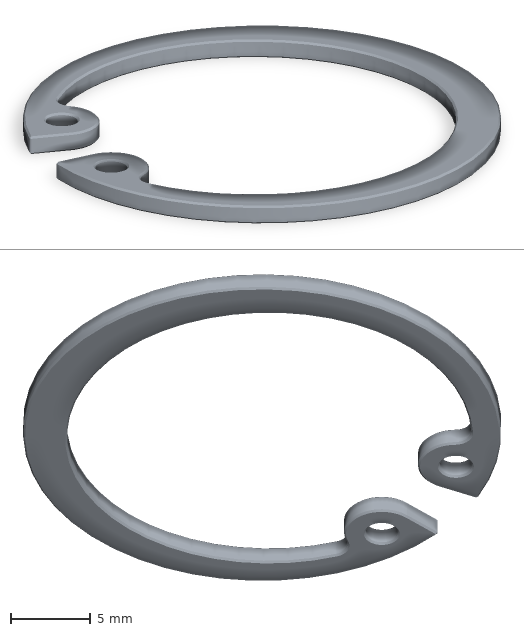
import cadquery as cq
import math

outer_radius = 15.03
bore_radius = 12.72
bore_offset = 0.55
thickness = 1.2
edge_chamfer = 0.12

lug_x = 4.15
lug_y = -11.9
lug_radius = 2.37
hole_diameter = 2.0
notch_radius = 1.05
tip_x = 2.15
tip_round = 0.15


def point_toward(start, target, distance):
    """Point at a distance from start along the direction to target."""
    scale = distance / math.dist(start, target)
    return (
        start[0] + (target[0] - start[0]) * scale,
        start[1] + (target[1] - start[1]) * scale,
    )


def polar_point(centre, radius, angle):
    return (
        centre[0] + radius * math.cos(angle),
        centre[1] + radius * math.sin(angle),
    )


def direction(start, target):
    return math.atan2(target[1] - start[1], target[0] - start[0])


def triangle_angle(side_a, side_b, opposite):
    """Angle between side_a and side_b of a triangle."""
    return math.acos((side_a**2 + side_b**2 - opposite**2) / (2 * side_a * side_b))


def mirrored(point):
    return (-point[0], point[1])


bore_centre = (0.0, -bore_offset)
lug_centre = (lug_x, lug_y)
tip = (tip_x, -math.sqrt(outer_radius**2 - tip_x**2))

notch_to_bore = bore_radius - notch_radius
notch_to_lug = lug_radius + notch_radius
bore_to_lug = math.dist(bore_centre, lug_centre)
notch_angle = direction(bore_centre, lug_centre) + triangle_angle(notch_to_bore, bore_to_lug, notch_to_lug)
notch_centre = polar_point(bore_centre, notch_to_bore, notch_angle)
notch_start = polar_point(bore_centre, bore_radius, notch_angle)
notch_end = point_toward(notch_centre, lug_centre, notch_radius)
notch_middle = point_toward(
    notch_centre,
    ((notch_start[0] + notch_end[0]) / 2, (notch_start[1] + notch_end[1]) / 2),
    notch_radius,
)

tangent_angle = direction(lug_centre, tip) - math.acos(lug_radius / math.dist(lug_centre, tip))
lug_end = polar_point(lug_centre, lug_radius, tangent_angle)
lug_top = (lug_x, lug_y + lug_radius)


def ring_profile():
    return (
        cq.Workplane("XY")
        .moveTo(*tip)
        .threePointArc((0, outer_radius), mirrored(tip))
        .lineTo(*mirrored(lug_end))
        .threePointArc(mirrored(lug_top), mirrored(notch_end))
        .threePointArc(mirrored(notch_middle), mirrored(notch_start))
        .threePointArc((0, bore_radius - bore_offset), notch_start)
        .threePointArc(notch_middle, notch_end)
        .threePointArc(lug_top, lug_end)
        .close()
    )


def round_tips(body):
    for corner in (tip, mirrored(tip)):
        nearest = cq.selectors.NearestToPointSelector((*corner, thickness / 2))
        body = body.edges("|Z").edges(nearest).fillet(tip_round)
    return body


body = round_tips(ring_profile().extrude(thickness))
lug_holes = (
    cq.Workplane("XY")
    .pushPoints([lug_centre, mirrored(lug_centre)])
    .circle(hole_diameter / 2)
    .extrude(thickness)
)
result = body.cut(lug_holes).faces("<Z or >Z").edges().chamfer(edge_chamfer)